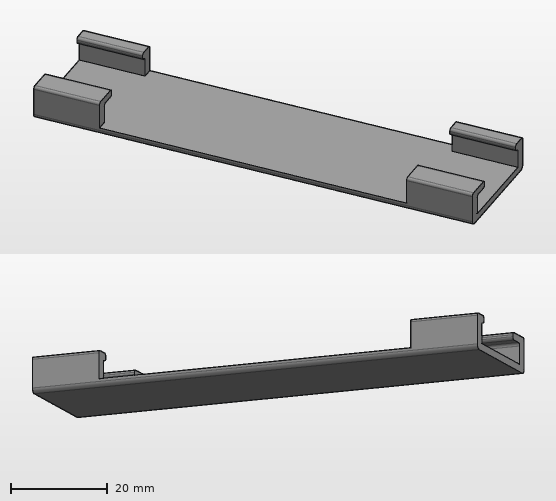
import cadquery as cq

length = 100.0
width = 24.8
height = 7.7

bottom_radius = 1.0
lip_radius = 0.6

floor_thickness = 1.6
wall_thickness = 2.4
lip_thickness = 1.6
back_lip_reach = wall_thickness + 2 * lip_radius
front_lip_reach = 6.0

clip_length = 15.0

half_width = width / 2
inner_half_width = half_width - wall_thickness
lip_underside = height - lip_thickness
back_tip = half_width - back_lip_reach
front_tip = front_lip_reach - half_width


def long_edges_at(y, z):
    """Selector for the edges along X that pass close to (y, z)."""
    reach = 0.05
    return cq.selectors.BoxSelector(
        (-length, y - reach, z - reach),
        (length, y + reach, z + reach),
    )


def channel_outline():
    """Cross-section in the YZ plane, with the lip undersides already rounded."""
    tip_start = lip_underside + lip_radius
    root_end = lip_underside - lip_radius
    return (
        cq.Workplane("YZ")
        .moveTo(-half_width, 0)
        .lineTo(half_width, 0)
        .lineTo(half_width, height)
        .lineTo(back_tip, height)
        .lineTo(back_tip, tip_start)
        .tangentArcPoint((back_tip + lip_radius, lip_underside), relative=False)
        .tangentArcPoint((inner_half_width, root_end), relative=False)
        .lineTo(inner_half_width, floor_thickness)
        .lineTo(-inner_half_width, floor_thickness)
        .lineTo(-inner_half_width, root_end)
        .tangentArcPoint((lip_radius - inner_half_width, lip_underside), relative=False)
        .lineTo(front_tip - lip_radius, lip_underside)
        .tangentArcPoint((front_tip, tip_start), relative=False)
        .lineTo(front_tip, height)
        .lineTo(-half_width, height)
        .close()
    )


def lipped_channel():
    """Full-length channel with an inward lip on top of each wall."""
    channel = channel_outline().extrude(length / 2, both=True)
    for y in (-half_width, half_width):
        channel = channel.edges(long_edges_at(y, 0)).fillet(bottom_radius)
    for y in (-half_width, front_tip, back_tip, half_width):
        channel = channel.edges(long_edges_at(y, height)).fillet(lip_radius)
    return channel


def middle_gap():
    """Space above the floor between the clips at the two ends."""
    return cq.Workplane("XY").workplane(offset=floor_thickness).box(
        length - 2 * clip_length,
        width,
        height - floor_thickness,
        centered=(True, True, False),
    )


result = lipped_channel().cut(middle_gap())